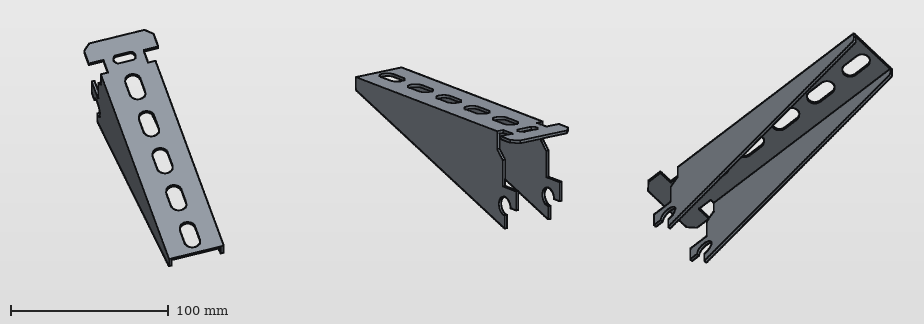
import cadquery as cq
import math

length = 175.0
depth = 62.5
sheet = 2.0
body_width = 36.2

head_width = 46.0
head_length = 14.9
head_chamfer = 4.7
neck_width = 26.6
shoulder_x = 25.0

shoulder_drop = 11.7
wall_front_x = 19.0
lug_front_x = 4.9
lug_top_z = -35.0
lug_corner_radius = 0.7
hook_x = 17.0
hook_z = -47.6
hook_radius = 6.1
tip_height = 8.5
tip_radius = 1.8

slot_count = 5
slot_row_span = 120.0
first_slot_x = 40.6
slot_pitch = slot_row_span / (slot_count - 1)
slot_length = 20.1
slot_width = 10.0
cross_slot_x = 17.0
cross_slot_length = 14.4
cross_slot_width = 6.5
cross_slot_end_rise = 2.0


def make_top_plate():
    """T-shaped plate with a recessed neck between head and body."""
    head = (
        cq.Workplane("XY")
        .box(head_length, head_width, sheet, centered=(False, True, False))
        .edges("|Z and <X")
        .chamfer(head_chamfer)
    )
    neck = cq.Workplane("XY").box(shoulder_x, neck_width, sheet, centered=(False, True, False))
    body = (
        cq.Workplane("XY")
        .box(length - shoulder_x, body_width, sheet, centered=(False, True, False))
        .translate((shoulder_x, 0, 0))
    )
    return head.union(neck).union(body).translate((0, 0, -sheet))


def make_wall(outer_y):
    """Tapered side wall with a hooked lug; it extends from outer_y toward +Y."""
    chamfer_run = shoulder_x - wall_front_x
    arc_offset = hook_radius * math.sqrt(0.5)
    wall = (
        cq.Workplane("XZ", origin=(0, outer_y, 0))
        .moveTo(shoulder_x, 0)
        .lineTo(shoulder_x, -shoulder_drop)
        .lineTo(wall_front_x, -shoulder_drop - chamfer_run)
        .lineTo(wall_front_x, lug_top_z)
        .lineTo(lug_front_x, lug_top_z)
        .lineTo(lug_front_x, hook_z)
        .lineTo(hook_x - hook_radius, hook_z)
        .threePointArc(
            (hook_x + arc_offset, hook_z + arc_offset),
            (hook_x, hook_z - hook_radius),
        )
        .lineTo(hook_x, -depth)
        .lineTo(length, -tip_height)
        .lineTo(length, 0)
        .close()
        .extrude(-sheet)
    )
    tip_edge = cq.selectors.NearestToPointSelector((length, outer_y + sheet / 2, -tip_height))
    lug_corner = cq.selectors.NearestToPointSelector((wall_front_x, outer_y + sheet / 2, lug_top_z))
    wall = wall.edges(tip_edge).fillet(tip_radius)
    return wall.edges(lug_corner).fillet(lug_corner_radius)


def make_long_slots():
    """Row of round-ended slots along the body."""
    centers = [(first_slot_x + i * slot_pitch, 0) for i in range(slot_count)]
    return (
        cq.Workplane("XY")
        .pushPoints(centers)
        .slot2D(slot_length, slot_width)
        .extrude(-sheet)
    )


def make_cross_slot():
    """Slot across the neck with shallow arched ends."""
    left_x = cross_slot_x - cross_slot_width / 2
    right_x = cross_slot_x + cross_slot_width / 2
    end_y = cross_slot_length / 2
    side_y = end_y - cross_slot_end_rise
    return (
        cq.Workplane("XY")
        .moveTo(left_x, -side_y)
        .lineTo(left_x, side_y)
        .threePointArc((cross_slot_x, end_y), (right_x, side_y))
        .lineTo(right_x, -side_y)
        .threePointArc((cross_slot_x, -end_y), (left_x, -side_y))
        .close()
        .extrude(-sheet)
    )


top_plate = make_top_plate().cut(make_long_slots()).cut(make_cross_slot())
near_wall = make_wall(-body_width / 2)
far_wall = make_wall(body_width / 2 - sheet)
result = top_plate.union(near_wall).union(far_wall).clean()